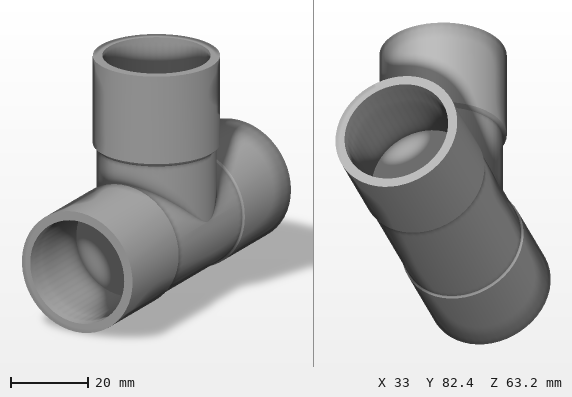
import cadquery as cq

run_length = 82.4
branch_height = 46.7
collar_diameter = 33.0
bore_diameter = 28.0
run_diameter = 32.0
branch_diameter = 31.0
collar_length = 24.0
socket_depth = collar_length

collar_radius = collar_diameter / 2
run_radius = run_diameter / 2
branch_radius = branch_diameter / 2
half_run = run_length / 2


def limb(length, pipe_radius):
    """Solid limb from the origin up Z, with a collar tapering at 45 degrees to the pipe."""
    collar_start = length - collar_length
    taper_start = collar_start - (collar_radius - pipe_radius)
    return (
        cq.Workplane("XZ")
        .moveTo(0, 0)
        .lineTo(pipe_radius, 0)
        .lineTo(pipe_radius, taper_start)
        .lineTo(collar_radius, collar_start)
        .lineTo(collar_radius, length)
        .lineTo(0, length)
        .close()
        .revolve(360, (0, 0, 0), (0, 1, 0))
    )


def socket(length):
    """Blind bore cut down from the mouth of an upright limb."""
    return (
        cq.Workplane("XY")
        .workplane(offset=length - socket_depth)
        .circle(bore_diameter / 2)
        .extrude(socket_depth)
    )


def laid_along_y(upright, angle):
    return upright.rotate((0, 0, 0), (1, 0, 0), angle)


body = limb(branch_height, branch_radius)
for angle in (90, -90):
    body = body.union(laid_along_y(limb(half_run, run_radius), angle))

body = body.cut(socket(branch_height))
for angle in (90, -90):
    body = body.cut(laid_along_y(socket(half_run), angle))

result = body